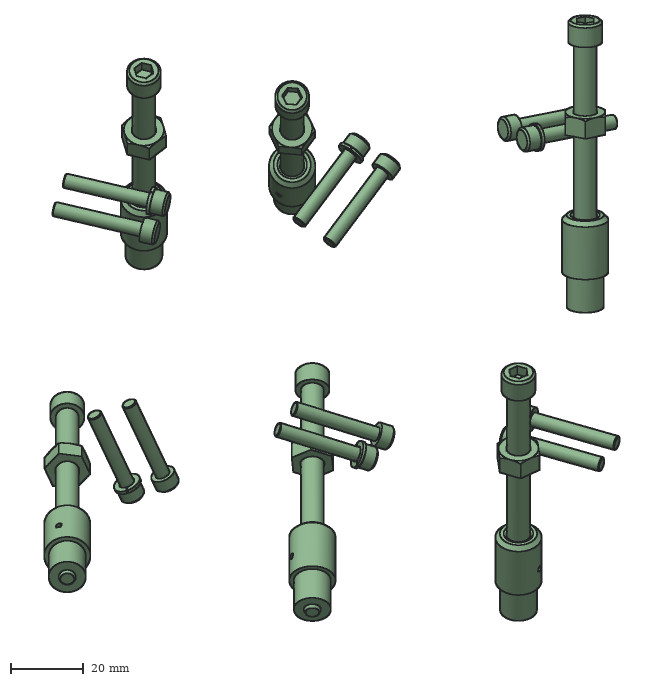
import cadquery as cq
import math

tip_height = 1.0
exposed_core_height = 10.1
sleeve_bottom = tip_height + exposed_core_height
sleeve_height = 16.6
sleeve_top = sleeve_bottom + sleeve_height
nut_bottom = 52.1
nut_height = 5.6
nut_top = nut_bottom + nut_height
stack_top = 84.5

adjuster_diameter = 6.3
adjuster_head_diameter = 9.4
adjuster_head_height = 6.3
adjuster_head_chamfer = 0.7
socket_across_flats = 4.7
socket_depth = 3.0
adjuster_end = sleeve_bottom
adjuster_bore = 6.7

nut_across_flats = 11.0
nut_chamfer_angle = 30.0

sleeve_diameter = 12.75
sleeve_wall = 1.3
vent_diameter = 1.7
vent_height = 17.4
core_diameter = sleeve_diameter - 2 * sleeve_wall
countersink_diameter = 8.1
countersink_depth = 0.3
tip_end_diameter = 3.8
tip_root_diameter = 4.7

clamp_diameter = 4.05
clamp_head_diameter = 6.85
clamp_head_height = 4.1
clamp_head_chamfer = 0.6
clamp_end_chamfer = 0.25
clamp_left = -18.25
clamp_right = 11.2
clamp_head_start = clamp_right - clamp_head_height
clamp_height = 47.0
washer_screw_y = -15.1
plain_screw_y = -25.35

washer_diameter = 7.7
washer_bore = 4.4
washer_thickness = 0.9
washer_gap = 0.25


def upright_cylinder(diameter, bottom, top):
    return cq.Workplane("XY").workplane(offset=bottom).circle(diameter / 2).extrude(top - bottom)


def across_corners(across_flats):
    return across_flats / math.cos(math.pi / 6)


def upright_hexagon(across_flats, bottom, top):
    outline = cq.Workplane("XY").workplane(offset=bottom).polygon(6, across_corners(across_flats))
    return outline.extrude(top - bottom)


def make_adjuster():
    head_bottom = stack_top - adjuster_head_height
    head = upright_cylinder(adjuster_head_diameter, head_bottom, stack_top)
    head = head.faces(">Z").chamfer(adjuster_head_chamfer)
    shank = upright_cylinder(adjuster_diameter, adjuster_end, head_bottom)
    socket = upright_hexagon(socket_across_flats, stack_top - socket_depth, stack_top)
    return head.union(shank).cut(socket)


def make_nut():
    flat_radius = nut_across_flats / 2
    corner_radius = across_corners(nut_across_flats) / 2
    corner_drop = (corner_radius - flat_radius) * math.tan(math.radians(nut_chamfer_angle))
    body = upright_hexagon(nut_across_flats, nut_bottom, nut_top)
    blank = (
        cq.Workplane("XZ")
        .moveTo(0, nut_bottom)
        .lineTo(corner_radius, nut_bottom)
        .lineTo(corner_radius, nut_top - corner_drop)
        .lineTo(flat_radius, nut_top)
        .lineTo(0, nut_top)
        .close()
        .revolve(360, (0, 0), (0, 1))
    )
    return body.intersect(blank).cut(upright_cylinder(adjuster_bore, nut_bottom, nut_top))


def make_sleeve():
    body = upright_cylinder(sleeve_diameter, sleeve_bottom, sleeve_top)
    body = body.faces(">Z").chamfer(sleeve_wall)
    bore = upright_cylinder(core_diameter, sleeve_bottom, sleeve_top)
    vent = (
        cq.Workplane("YZ")
        .center(0, vent_height)
        .circle(vent_diameter / 2)
        .extrude(-sleeve_diameter / 2)
    )
    return body.cut(bore).cut(vent)


def make_core():
    body = upright_cylinder(core_diameter, tip_height, sleeve_top)
    bore = upright_cylinder(adjuster_bore, adjuster_end, sleeve_top)
    countersink = (
        cq.Workplane("XY")
        .workplane(offset=sleeve_top - countersink_depth)
        .circle(adjuster_bore / 2)
        .workplane(offset=countersink_depth)
        .circle(countersink_diameter / 2)
        .loft()
    )
    return body.cut(bore).cut(countersink)


def make_tip():
    return (
        cq.Workplane("XY")
        .circle(tip_end_diameter / 2)
        .workplane(offset=tip_height)
        .circle(tip_root_diameter / 2)
        .loft()
    )


def cross_cylinder(diameter, axis_y, left, right):
    return (
        cq.Workplane("YZ")
        .workplane(offset=left)
        .center(axis_y, clamp_height)
        .circle(diameter / 2)
        .extrude(right - left)
    )


def make_clamp_screw(axis_y):
    head = cross_cylinder(clamp_head_diameter, axis_y, clamp_head_start, clamp_right)
    head = head.faces(">X").chamfer(clamp_head_chamfer)
    shank = cross_cylinder(clamp_diameter, axis_y, clamp_left, clamp_head_start)
    shank = shank.faces("<X").chamfer(clamp_end_chamfer)
    return head.union(shank)


def make_washer_half(side):
    washer_left = clamp_head_start - washer_thickness
    ring = cross_cylinder(washer_diameter, washer_screw_y, washer_left, clamp_head_start)
    ring = ring.cut(cross_cylinder(washer_bore, washer_screw_y, washer_left, clamp_head_start))
    block = cq.Workplane("XY").box(washer_diameter, washer_diameter, washer_diameter)
    block_y = washer_screw_y + side * (washer_diameter + washer_gap) / 2
    block = block.translate((clamp_head_start, block_y, clamp_height))
    return ring.intersect(block)


adjuster = make_adjuster()
nut = make_nut()
sleeve = make_sleeve()
core = make_core()
tip = make_tip()
clamp_screws = [make_clamp_screw(axis_y) for axis_y in (washer_screw_y, plain_screw_y)]
washer_halves = [make_washer_half(side) for side in (-1, 1)]

result = cq.Compound.makeCompound(
    [
        adjuster.val(),
        nut.val(),
        sleeve.val(),
        core.val(),
        tip.val(),
        *[screw.val() for screw in clamp_screws],
        *[half.val() for half in washer_halves],
    ]
)